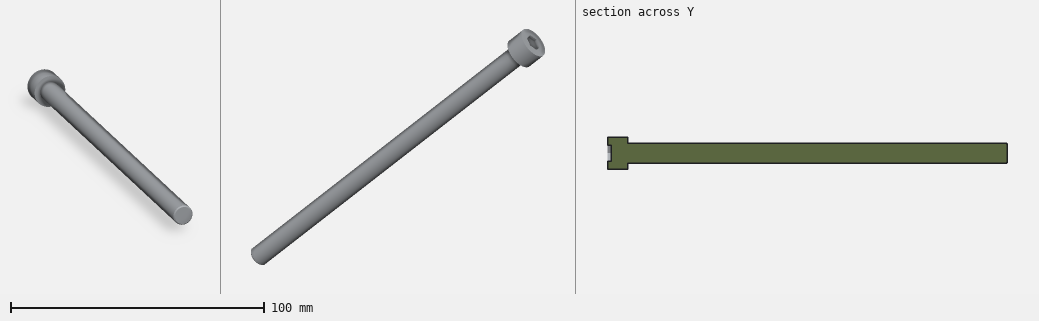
import cadquery as cq
import math

total_length = 158.0
head_diameter = 13.0
head_height = 8.0
shank_diameter = 8.0
tip_chamfer = 0.5
hex_across_flats = 6.0
hex_depth = 1.3

hex_across_corners = hex_across_flats / math.cos(math.pi / 6)
head_face_x = -total_length / 2


def cylinder_along_x(diameter, length):
    """Cylinder starting at the head face and running toward +X."""
    return cq.Workplane("YZ", origin=(head_face_x, 0, 0)).circle(diameter / 2).extrude(length)


head = cylinder_along_x(head_diameter, head_height)

shank = cylinder_along_x(shank_diameter, total_length).faces(">X").chamfer(tip_chamfer)

socket = (
    cq.Workplane("YZ", origin=(head_face_x, 0, 0))
    .polygon(6, hex_across_corners)
    .extrude(hex_depth)
)

result = head.union(shank).cut(socket)